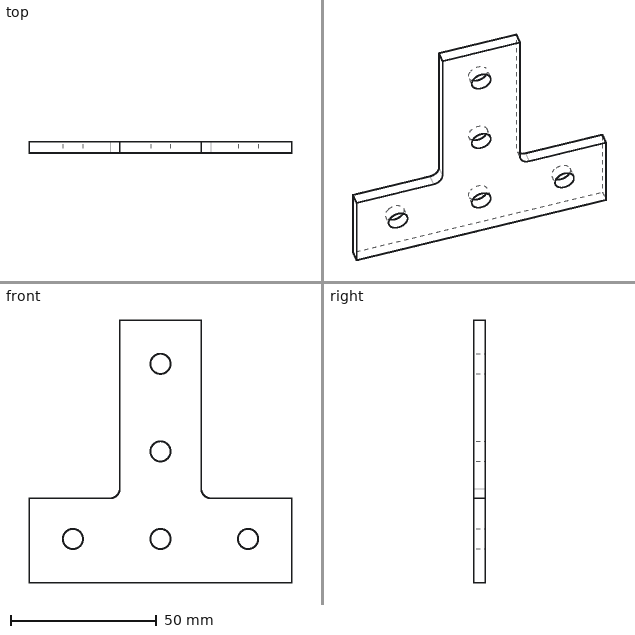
import cadquery as cq

plate_size = 90.0
thickness = 4.0
stem_width = 28.0
bar_height = 29.0
corner_radius = 3.2
hole_diameter = 6.8

hole_pitch = plate_size / 3
hole_edge_distance = hole_pitch / 2


def plate_blank():
    """Horizontal bar along the bottom with a central stem, rounded in the inner corners."""
    bar = cq.Workplane("XY").box(plate_size, thickness, bar_height, centered=(True, True, False))
    stem = cq.Workplane("XY").box(stem_width, thickness, plate_size, centered=(True, True, False))
    inner_corners = cq.selectors.BoxSelector(
        (-stem_width, -thickness, bar_height - corner_radius),
        (stem_width, thickness, bar_height + corner_radius),
    )
    return bar.union(stem).edges("|Y").edges(inner_corners).fillet(corner_radius)


def hole_cutters():
    """Through holes: three along the bar and two more up the stem."""
    bar_holes = [(i * hole_pitch, hole_edge_distance) for i in (-1, 0, 1)]
    stem_holes = [(0, hole_edge_distance + i * hole_pitch) for i in (1, 2)]
    return (
        cq.Workplane("XZ", origin=(0, thickness / 2, 0))
        .pushPoints(bar_holes + stem_holes)
        .circle(hole_diameter / 2)
        .extrude(thickness)
    )


result = plate_blank().cut(hole_cutters())